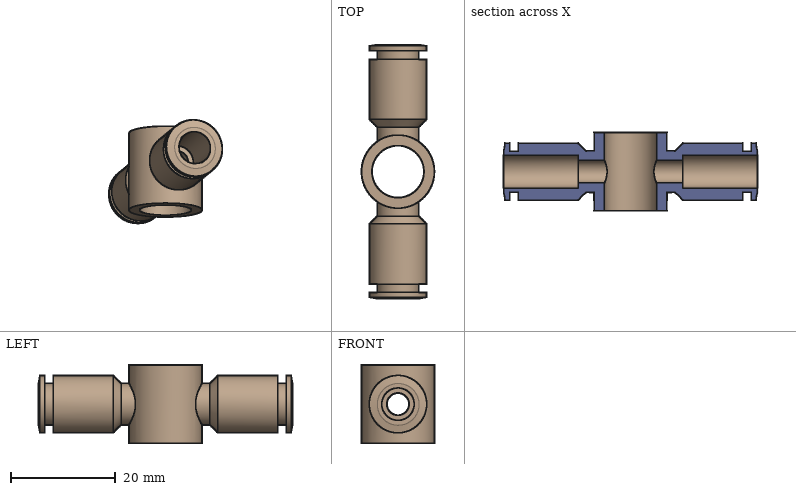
import cadquery as cq
import math

ring_outer_diameter = 14.0
ring_bore_diameter = 9.9
ring_height = 15.0

overall_length = 48.6
body_diameter = 11.0
neck_diameter = 8.0
socket_diameter = 6.2
passage_diameter = 4.2

body_radius = body_diameter / 2
neck_radius = neck_diameter / 2

flange_thickness = 1.2
flange_face_angle = 10.0
flange_face_rise = (body_radius - neck_radius) * math.tan(math.radians(flange_face_angle))
groove_width = 1.6
body_length = 11.5

end_face = overall_length / 2
flange_outer = end_face - flange_face_rise
flange_inner = end_face - flange_thickness
body_outer = flange_inner - groove_width
body_inner = body_outer - body_length

neck_outer = body_inner - (body_radius - neck_radius)

socket_floor = body_inner


def connector():
    """Solid of revolution for the connector pointing along +Y."""
    profile = [
        (0, 0),
        (neck_radius, 0),
        (neck_radius, neck_outer),
        (body_radius, body_inner),
        (body_radius, body_outer),
        (neck_radius, body_outer),
        (neck_radius, flange_inner),
        (body_radius, flange_inner),
        (body_radius, flange_outer),
        (neck_radius, end_face),
        (0, end_face),
    ]
    return cq.Workplane("XY").polyline(profile).close().revolve(360, (0, 0, 0), (0, 1, 0))


def connector_bore():
    """Tube socket and narrower passage, opening into the ring bore."""
    socket_radius = socket_diameter / 2
    passage_radius = passage_diameter / 2
    profile = [
        (0, 0),
        (passage_radius, 0),
        (passage_radius, socket_floor),
        (socket_radius, socket_floor),
        (socket_radius, end_face),
        (0, end_face),
    ]
    return cq.Workplane("XY").polyline(profile).close().revolve(360, (0, 0, 0), (0, 1, 0))


def on_both_sides(shape):
    """The shape together with its mirror image across the XZ plane."""
    return shape.union(shape.mirror("XZ"))


def ring_cylinder(diameter):
    """Full-height cylinder on the ring axis, centred on the origin."""
    return cq.Workplane("XY").circle(diameter / 2).extrude(ring_height / 2, both=True)


body = ring_cylinder(ring_outer_diameter).union(on_both_sides(connector()))
result = body.cut(ring_cylinder(ring_bore_diameter)).cut(on_both_sides(connector_bore()))